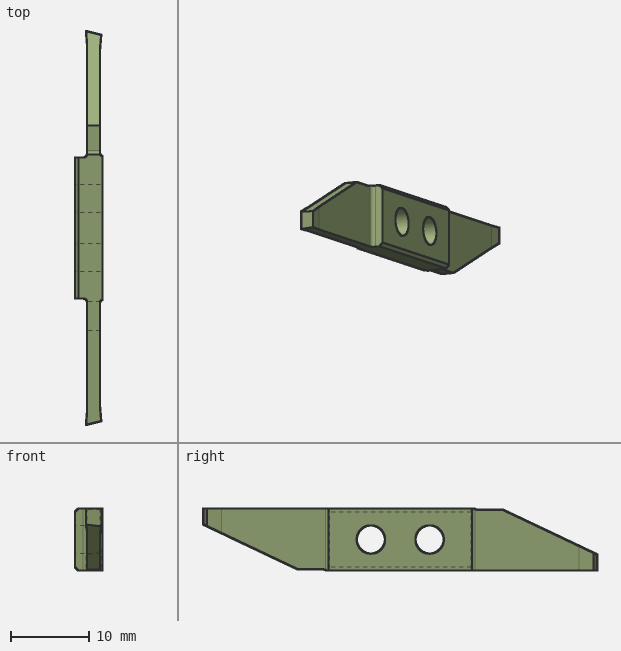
import cadquery as cq
import math

length = 50.5
width = 3.6
height = 8.0
half_length = length / 2
top = height / 2
left = -width / 2
right = width / 2

body_half_length = 9.05
body_chamfer = 0.45
hole_diameter = 3.6
hole_spacing = 7.5

arm_left = left + 1.55
arm_right = right - 0.33
left_radius = 0.5
right_radius = right - arm_right
arm_root = body_half_length + left_radius

head_flare = 0.15
head_length = 1.8
tip_bevel = 0.5

tip_height = 2.05
slope_start = 13.15
relief_depth = 0.15
relief_start = 9.45
relief_radius = 0.75


def make_body():
    """Rectangular block with its two long left edges chamfered."""
    body = cq.Workplane("XY").box(width, 2 * body_half_length, height)
    return body.faces("<X").edges("|Y").chamfer(body_chamfer)


def make_arm():
    """Arm towards +Y: plan outline trimmed to the side profile."""
    left_tangent = arm_left - left_radius
    right_shoulder = arm_root - right_radius
    bevelled_end = half_length - tip_bevel
    diagonal = 1 - math.sqrt(0.5)
    plan = (
        cq.Workplane("XY", origin=(0, 0, -top))
        .moveTo(left_tangent, 0)
        .lineTo(left_tangent, body_half_length)
        .threePointArc(
            (arm_left - left_radius * diagonal, body_half_length + left_radius * diagonal),
            (arm_left, arm_root),
        )
        .lineTo(arm_left, half_length - head_length)
        .lineTo(arm_left - head_flare, half_length)
        .lineTo(arm_right + head_flare, bevelled_end)
        .lineTo(arm_right, bevelled_end - head_length)
        .lineTo(arm_right, arm_root)
        .threePointArc(
            (arm_right + right_radius * diagonal, right_shoulder + right_radius * diagonal),
            (right, right_shoulder),
        )
        .lineTo(right, 0)
        .close()
        .extrude(height)
    )

    relief_floor = top - relief_depth
    relief_angle = math.acos(1 - relief_depth / relief_radius)
    relief_end = relief_start + relief_radius * math.sin(relief_angle)
    relief_middle = (
        relief_end - relief_radius * math.sin(relief_angle / 2),
        relief_floor + relief_radius * (1 - math.cos(relief_angle / 2)),
    )
    side = (
        cq.Workplane("YZ", origin=(left, 0, 0))
        .moveTo(0, -top)
        .lineTo(half_length, -top)
        .lineTo(half_length, tip_height - top)
        .lineTo(slope_start, relief_floor)
        .lineTo(relief_end, relief_floor)
        .threePointArc(relief_middle, (relief_start, top))
        .lineTo(0, top)
        .close()
        .extrude(width)
    )
    return plan.intersect(side)


arm = make_arm()
opposite_arm = arm.rotate((0, 0, 0), (1, 0, 0), 180)
blank = make_body().union(arm).union(opposite_arm)

holes = (
    cq.Workplane("YZ", origin=(left, 0, 0))
    .pushPoints([(-hole_spacing / 2, 0), (hole_spacing / 2, 0)])
    .circle(hole_diameter / 2)
    .extrude(width)
)
result = blank.cut(holes)